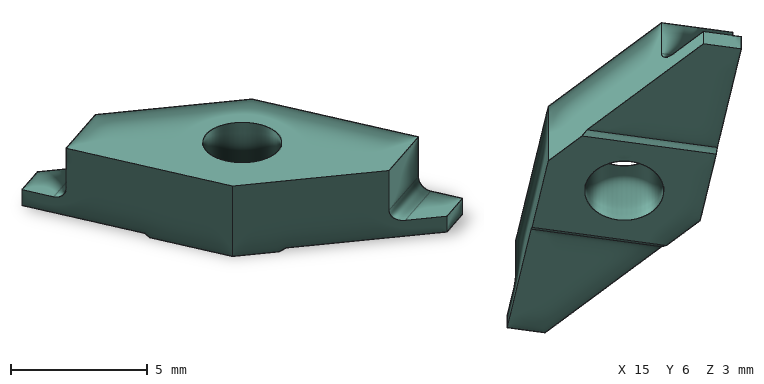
import cadquery as cq
import math

length = 15.0
width = 6.0
height = 3.0

flank_angle = 35.0
tip_width = 1.41

hole_diameter = 2.9

body_length = 11.46
tongue_top = 0.81
shoulder_radius = 0.5

relief_depth = 0.14
foot_length = 4.74
foot_slope_run = 0.21


def plan_prism():
    """Full-height prism of the plan outline, symmetric under a half turn."""
    flank_run = (width - tip_width) / math.tan(math.radians(flank_angle))
    half_outline = [
        (-length / 2, -width / 2),
        (length / 2 - flank_run, -width / 2),
        (length / 2, width / 2 - tip_width),
    ]
    opposite_half = [(-x, -y) for x, y in half_outline]
    return cq.Workplane("XY").polyline(half_outline + opposite_half).close().extrude(height)


def side_profile():
    """Stepped profile in XZ, extruded across the whole width."""
    end = length / 2
    shoulder = body_length / 2
    foot = foot_length / 2
    foot_root = foot + foot_slope_run
    fillet_start = shoulder + shoulder_radius
    fillet_top = tongue_top + shoulder_radius
    return (
        cq.Workplane("XZ")
        .moveTo(-foot, 0)
        .lineTo(foot, 0)
        .lineTo(foot_root, relief_depth)
        .lineTo(end, relief_depth)
        .lineTo(end, tongue_top)
        .lineTo(fillet_start, tongue_top)
        .radiusArc((shoulder, fillet_top), shoulder_radius)
        .lineTo(shoulder, height)
        .lineTo(-shoulder, height)
        .lineTo(-shoulder, fillet_top)
        .radiusArc((-fillet_start, tongue_top), shoulder_radius)
        .lineTo(-end, tongue_top)
        .lineTo(-end, relief_depth)
        .lineTo(-foot_root, relief_depth)
        .close()
        .extrude(width / 2, both=True)
    )


hole = cq.Workplane("XY").circle(hole_diameter / 2).extrude(height)

result = plan_prism().intersect(side_profile()).cut(hole)